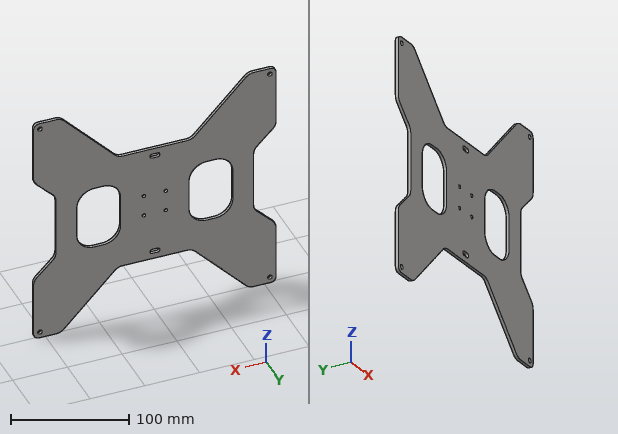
import cadquery as cq

side = 221.5
thickness = 3.0
half_side = side / 2

waist_half_width = 90.25
waist_half_height = 56.75
arm_end_x = 86.0
waist_end_x = 33.75
arm_end_z = 50.75
waist_end_z = 30.75

tip_radius = 5.0
bend_radius = 10.0

window_width = 40.0
window_height = 60.5
window_corner_radius = 16.0
window_offset = 51.25

corner_hole_diameter = 4.0
corner_hole_pitch = 210.0
centre_hole_diameter = 3.0
centre_hole_pitch = 20.0
slot_length = 9.0
slot_width = 4.0
slot_offset = 49.25


def centre_plane():
    """Work plane through the middle of the plate, with its local Y along Z."""
    return cq.Workplane("XZ")


def extrude_through(profile):
    """Extrude a profile through the full plate thickness."""
    return profile.extrude(thickness / 2, both=True)


def is_tip(edge):
    """True for an edge on one of the four outermost corners."""
    centre = edge.Center()
    return min(abs(centre.x), abs(centre.z)) > (arm_end_x + half_side) / 2


def make_plate():
    """X-shaped plate with rounded arm tips and bends."""
    quarter = [
        (waist_half_width, waist_end_z),
        (half_side, arm_end_z),
        (half_side, half_side),
        (arm_end_x, half_side),
        (waist_end_x, waist_half_height),
    ]
    upper = quarter + [(-x, z) for x, z in reversed(quarter)]
    lower = [(-x, -z) for x, z in upper]
    plate = extrude_through(centre_plane().polyline(upper + lower).close())
    plate = plate.edges("|Y").filter(lambda edge: not is_tip(edge)).fillet(bend_radius)
    return plate.edges("|Y").filter(is_tip).fillet(tip_radius)


def make_windows():
    """Pair of rounded rectangular openings."""
    centres = [(-window_offset, 0), (window_offset, 0)]
    windows = extrude_through(centre_plane().pushPoints(centres).rect(window_width, window_height))
    return windows.edges("|Y").fillet(window_corner_radius)


def make_hole_square(pitch, diameter):
    """Four holes on the corners of a centred square."""
    corners = centre_plane().rect(pitch, pitch, forConstruction=True).vertices()
    return extrude_through(corners.circle(diameter / 2))


def make_slots():
    """Pair of horizontal slots above and below the centre."""
    centres = [(0, -slot_offset), (0, slot_offset)]
    return extrude_through(centre_plane().pushPoints(centres).slot2D(slot_length, slot_width))


result = (
    make_plate()
    .cut(make_windows())
    .cut(make_hole_square(corner_hole_pitch, corner_hole_diameter))
    .cut(make_hole_square(centre_hole_pitch, centre_hole_diameter))
    .cut(make_slots())
)